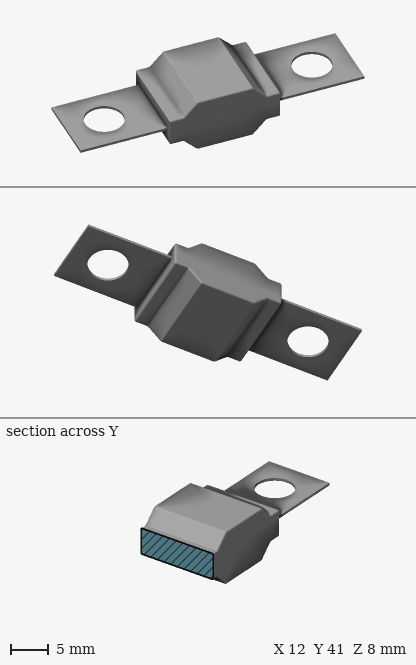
import cadquery as cq

BODY_WIDTH = 12.0
BODY_LENGTH = 16.0
BODY_HEIGHT = 8.0
END_HEIGHT = 4.0
END_LENGTH = 2.0
SLOPE_LENGTH = 2.0
EDGE_FILLET = 0.25

BLADE_WIDTH = 10.0
BLADE_LENGTH = 41.0
BLADE_THICKNESS = 0.4
HOLE_DIAMETER = 5.5
HOLE_SPACING = 30.0


def make_body():
    """Stepped octagonal profile extruded across X, with all edges rounded."""
    end_y = BODY_LENGTH / 2
    shoulder_y = end_y - END_LENGTH
    top_y = shoulder_y - SLOPE_LENGTH
    end_z = END_HEIGHT / 2
    top_z = BODY_HEIGHT / 2
    upper_half = [
        (end_y, end_z),
        (shoulder_y, end_z),
        (top_y, top_z),
        (-top_y, top_z),
        (-shoulder_y, end_z),
        (-end_y, end_z),
    ]
    lower_half = [(-y, -z) for y, z in upper_half]
    body = (
        cq.Workplane("YZ")
        .polyline(upper_half + lower_half)
        .close()
        .extrude(BODY_WIDTH / 2, both=True)
    )
    return body.edges().fillet(EDGE_FILLET)


def make_blade():
    """Thin centred strip with one bolt hole near each end."""
    blade = cq.Workplane("XY").box(BLADE_WIDTH, BLADE_LENGTH, BLADE_THICKNESS)
    hole_centres = [(0, side * HOLE_SPACING / 2) for side in (-1, 1)]
    return (
        blade.faces(">Z")
        .workplane()
        .pushPoints(hole_centres)
        .hole(HOLE_DIAMETER)
    )


result = make_body().union(make_blade())